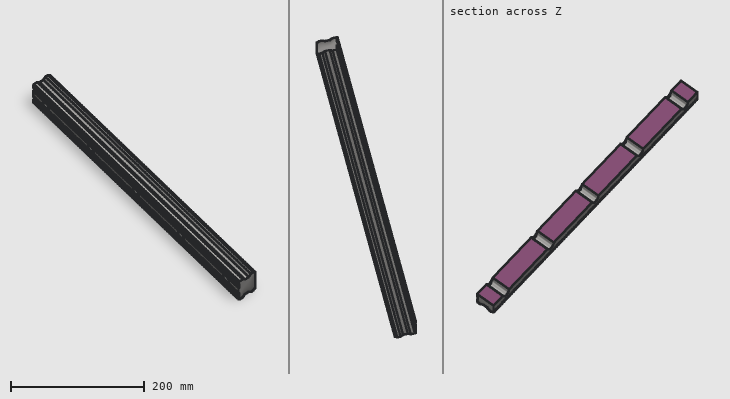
import cadquery as cq

length = 480.0
depth = 32.0
height = 45.0

hole_diameter = 14.0
hole_pitch = 105.0
hole_count = 5

back = depth / 2
front = -depth / 2
flank = height / 2
back_chamfer_y = 4.0
back_bevel_y = 1.5
back_bevel_z = 0.5
back_chamfer_z = 2.5
back_land = 5.0
front_chamfer = 1.5
front_land = 6.0
race_depth = 4.5
race_floor_back_y = 3.5
race_floor_front_y = -4.0
race_shoulder_y = 5.0
race_shoulder_depth = 3.0

relief_depth = 1.5
relief_outer_z = 15.5
relief_inner_z = 7.5
relief_inner_run = 1.0


def half_profile():
    """(Y, Z) points from the back face over the upper flank to the front face."""
    relief_floor = front + relief_depth
    land_end = back - back_chamfer_y - back_land
    return [
        (back, flank - back_chamfer_z - back_bevel_z),
        (back - back_bevel_y, flank - back_chamfer_z),
        (back - back_chamfer_y, flank),
        (land_end, flank),
        (race_shoulder_y, flank - race_shoulder_depth),
        (race_floor_back_y, flank - race_depth),
        (race_floor_front_y, flank - race_depth),
        (front + front_chamfer + front_land, flank),
        (front + front_chamfer, flank),
        (front, flank - front_chamfer),
        (front, relief_outer_z),
        (relief_floor, relief_outer_z),
        (relief_floor, relief_inner_z),
        (front, relief_inner_z - relief_inner_run),
    ]


def rail_body():
    """Extrude the profile, mirrored about Z = 0, along the rail."""
    upper = half_profile()
    lower = [(y, -z) for y, z in reversed(upper)]
    profile = cq.Workplane("YZ").polyline(upper + lower).close()
    return profile.extrude(length / 2, both=True)


def mounting_holes():
    """A centred row of plain through holes along Y."""
    row = cq.Workplane("XZ").rarray(hole_pitch, 5, hole_count, 1)
    return row.circle(hole_diameter / 2).extrude(depth, both=True)


result = rail_body().cut(mounting_holes())